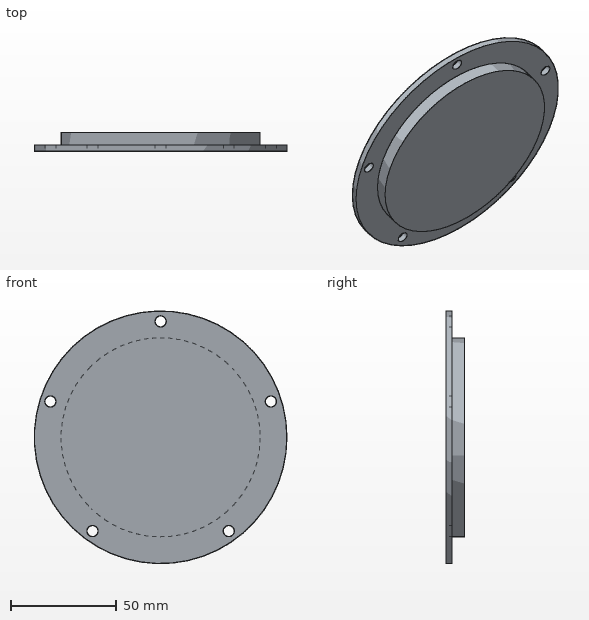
import cadquery as cq

flange_diameter = 120.0
flange_thickness = 3.0
boss_diameter = 94.5
boss_height = 6.0
hole_diameter = 5.2
hole_circle_diameter = 110.0
hole_count = 5
first_hole_angle = 90.0

flange = cq.Workplane("XZ").circle(flange_diameter / 2).extrude(-flange_thickness)

boss = (
    cq.Workplane("XZ", origin=(0, flange_thickness, 0))
    .circle(boss_diameter / 2)
    .extrude(-boss_height)
)

mounting_holes = (
    cq.Workplane("XZ")
    .polarArray(hole_circle_diameter / 2, first_hole_angle, 360, hole_count)
    .circle(hole_diameter / 2)
    .extrude(-flange_thickness)
)

result = flange.union(boss).cut(mounting_holes)